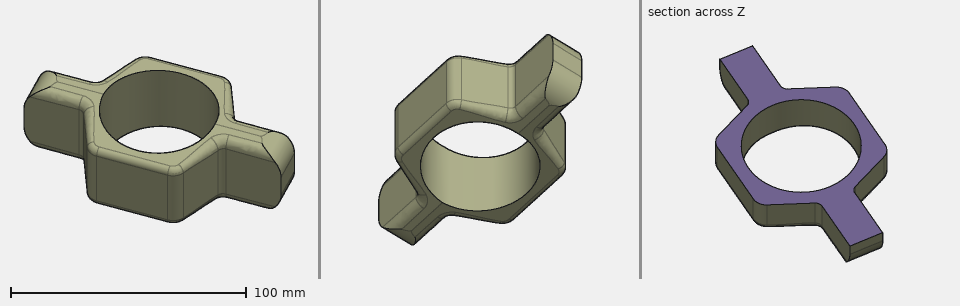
import cadquery as cq
import math

INCH = 25.4

overall_length = 4.6 * INCH
body_width = 2.5 * INCH
ridge_height = 35.97
side_height = 1.25 * INCH
bore_diameter = 50.67
arm_width = 0.625 * INCH

flat_length = 40.3
flank_angle = math.radians(64.7)

body_corner_radius = 0.25 * INCH
arm_root_radius = 0.125 * INCH
arm_end_radius = 0.5 * INCH

body_rim_radius = 3.0
arm_root_rim_radius = 4.5
arm_tip_rim_radius = 4.85

half_length = overall_length / 2
half_width = body_width / 2
half_arm = arm_width / 2
half_flat = flat_length / 2
half_ridge = ridge_height / 2
half_side = side_height / 2
arm_root_x = half_flat + (half_width - half_arm) / math.tan(flank_angle)

flank_top_y = half_width - body_corner_radius * (1 - math.cos(flank_angle))
flank_foot_y = half_arm + arm_root_radius * (1 - math.cos(flank_angle))
arm_straight_x = arm_root_x + arm_root_radius * math.tan(flank_angle / 2)

SELECT_MARGIN = 0.5


def upright_edges_at(prism, x, y):
    """The four upright edges that stand at (+-x, +-y)."""
    picked = prism.edges("|Z")
    return picked.filter(
        lambda edge: abs(abs(edge.Center().x) - x) < SELECT_MARGIN
        and abs(abs(edge.Center().y) - y) < SELECT_MARGIN
    )


def make_plan_prism():
    """Body and both arms as one upright prism, with its plan corners rounded."""
    front_side = [
        (-half_length, -half_arm),
        (-arm_root_x, -half_arm),
        (-half_flat, -half_width),
        (half_flat, -half_width),
        (arm_root_x, -half_arm),
        (half_length, -half_arm),
    ]
    back_side = [(-x, -y) for x, y in front_side]
    prism = cq.Workplane("XY").polyline(front_side + back_side).close().extrude(half_ridge, both=True)
    prism = upright_edges_at(prism, half_flat, half_width).fillet(body_corner_radius)
    return upright_edges_at(prism, arm_root_x, half_arm).fillet(arm_root_radius)


def make_roofed_envelope():
    """Long bar whose top and bottom slope away from a ridge along the X axis."""
    cross_section = [
        (-half_width, -half_side),
        (0, -half_ridge),
        (half_width, -half_side),
        (half_width, half_side),
        (0, half_ridge),
        (-half_width, half_side),
    ]
    return cq.Workplane("YZ").polyline(cross_section).close().extrude(half_length, both=True)


def share_between(value, start, end):
    """How far value lies from start to end, as a share kept between 0 and 1."""
    return min(max((value - start) / (end - start), 0), 1)


def rim_radius_at(point):
    """Rim radius: even along the flats, growing down each flank and out along each arm."""
    down_flank = share_between(abs(point.y), flank_top_y, flank_foot_y)
    along_arm = share_between(abs(point.x), arm_straight_x, half_length)
    return (
        body_rim_radius
        + down_flank * (arm_root_rim_radius - body_rim_radius)
        + along_arm * (arm_tip_rim_radius - arm_root_rim_radius)
    )


def is_rim(edge):
    """True for edges along the upright sides, false for those on the ridge or arm ends."""
    middle = edge.Center()
    return abs(middle.y) > half_arm - SELECT_MARGIN and abs(middle.x) < half_length - SELECT_MARGIN


def round_rims(blank):
    """Round the upper and lower rims with a radius that varies along the outline."""
    rounding = cq.occ_impl.shapes.BRepFilletAPI_MakeFillet(blank.val().wrapped)
    for edge in blank.edges("not |Z").filter(is_rim).vals():
        if rounding.Contour(edge.wrapped) == 0:
            rounding.Add(edge.wrapped)
    for chain in range(1, rounding.NbContours() + 1):
        for place in range(1, rounding.NbEdges(chain) + 1):
            edge = cq.Edge(rounding.Edge(chain, place))
            for vertex in edge.Vertices():
                rounding.SetRadius(rim_radius_at(vertex.Center()), chain, vertex.wrapped)
    return cq.Workplane(cq.Shape.cast(rounding.Shape()))


def make_arm_end_envelope():
    """Block with rounded XZ corners that trims the ends of the arms."""
    block = cq.Workplane("XY").box(overall_length, body_width, ridge_height)
    return block.edges("|Y").fillet(arm_end_radius)


def make_bore():
    """Cylinder through the body along Z."""
    return cq.Workplane("XY").circle(bore_diameter / 2).extrude(half_ridge, both=True)


blank = make_plan_prism().intersect(make_roofed_envelope())
rounded = round_rims(blank).intersect(make_arm_end_envelope())
result = rounded.cut(make_bore()).solids()